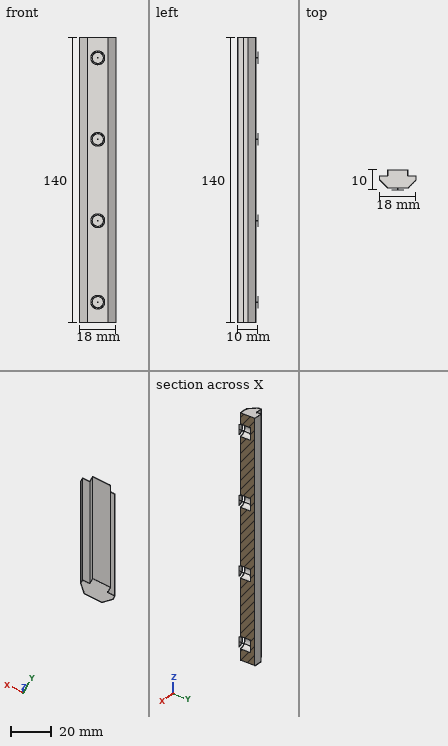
import cadquery as cq

rail_length = 140.0
flange_width = 18.0
neck_width = 9.95
flange_depth = 6.0
neck_depth = 3.0
rail_depth = flange_depth + neck_depth
bevel = (flange_width - neck_width) / 2

hole_count = 4
hole_pitch = 40.0
hole_diameter = 6.8
hole_depth = flange_depth
first_hole_z = (rail_length - (hole_count - 1) * hole_pitch) / 2

tip_diameter = 5.5
tip_projection = 1.0
tip_thickness = 0.1
stem_diameter = 0.4


def make_rail():
    """Symmetric T-slot rail: bevelled flange in front, narrow neck behind."""
    half_flange = flange_width / 2
    half_neck = neck_width / 2
    half_section = (
        cq.Workplane("XY")
        .moveTo(0, 0)
        .lineTo(half_neck, 0)
        .lineTo(half_flange, bevel)
        .lineTo(half_flange, flange_depth)
        .lineTo(half_neck, flange_depth)
        .lineTo(half_neck, rail_depth)
        .lineTo(0, rail_depth)
    )
    return half_section.mirrorY().extrude(rail_length)


def cylinder_along_y(diameter, start_y, length, z):
    """Cylinder on the rail's centre plane, running toward +Y from start_y."""
    plane = cq.Workplane("XZ", origin=(0, start_y, z))
    return plane.circle(diameter / 2).extrude(-length)


def make_tip(z):
    """Thin round tip and the stem that joins it to the hole floor."""
    tip = cylinder_along_y(tip_diameter, -tip_projection, tip_thickness, z)
    stem_start = tip_thickness - tip_projection
    stem = cylinder_along_y(stem_diameter, stem_start, hole_depth - stem_start, z)
    return tip.union(stem)


result = make_rail()
for index in range(hole_count):
    hole_z = first_hole_z + index * hole_pitch
    result = result.cut(cylinder_along_y(hole_diameter, 0, hole_depth, hole_z))
    result = result.union(make_tip(hole_z))